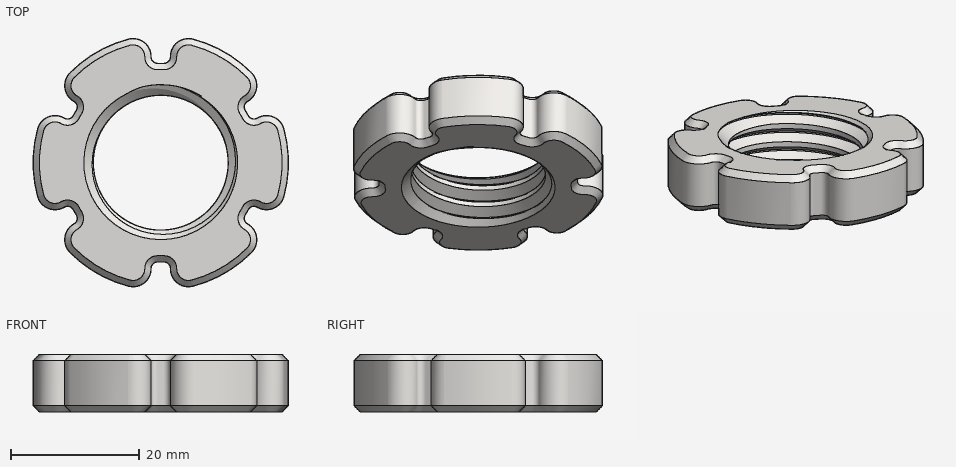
import cadquery as cq
import math

height = 9.0
outer_radius = 19.92
edge_chamfer = 1.0

slot_count = 6
slot_width = 3.0
slot_floor_radius = 15.5
slot_floor_fillet = 1.0
lobe_corner_fillet = 2.83

minor_radius = 21.0 / 2
major_radius = 24.35 / 2
pitch = 3.0
crest_width = 0.85
flank_angle = 30.0
crest_height = 7.15
crest_direction = 45.0
bore_overlap = 0.2

mouth_radius = 12.0
mouth_depth = mouth_radius - minor_radius

blank_radius = outer_radius + 2.0


def make_slot():
    """Cutter for one radial slot on the +Y side, with rounded floor corners."""
    slot_length = outer_radius
    return (
        cq.Workplane("XY")
        .center(0, slot_floor_radius + slot_length / 2)
        .rect(slot_width, slot_length)
        .extrude(height)
        .edges("|Z and <Y")
        .fillet(slot_floor_fillet)
    )


def is_lobe_corner(edge):
    """True for an upright edge where a slot wall meets the rim."""
    center = edge.Center()
    return math.isclose(math.hypot(center.x, center.y), outer_radius, abs_tol=0.005)


def make_body():
    """Slotted disc with rounded lobes, chamfered along both face outlines."""
    body = cq.Workplane("XY").circle(outer_radius).extrude(height).rotate((0, 0, 0), (0, 0, 1), 90)
    slot = make_slot()
    for index in range(slot_count):
        body = body.cut(slot.rotate((0, 0, 0), (0, 0, 1), index * 360 / slot_count))
    lobe_corners = [edge for edge in body.edges("|Z").vals() if is_lobe_corner(edge)]
    body = body.newObject(lobe_corners).fillet(lobe_corner_fillet)
    return body.faces("<Z or >Z").chamfer(edge_chamfer)


def make_mouth():
    """Lead-in cone that opens the bore at the lower face."""
    return (
        cq.Workplane("XZ")
        .polyline([(0, 0), (mouth_radius, 0), (minor_radius, mouth_depth), (0, mouth_depth)])
        .close()
        .revolve(360, (0, 0), (0, 1))
    )


def make_thread_groove():
    """Right-handed helical groove running past both faces."""
    flank_slope = math.tan(math.radians(flank_angle))
    half_opening = (pitch - crest_width) / 2
    half_root = half_opening - (major_radius - minor_radius) * flank_slope
    inner_radius = minor_radius - bore_overlap
    half_inner = half_opening + bore_overlap * flank_slope

    groove_height = crest_height + pitch / 2
    turns_below = math.ceil(groove_height / pitch) + 1
    turns_above = math.ceil((height - groove_height) / pitch) + 1
    helix = cq.Wire.makeHelix(pitch, (turns_below + turns_above) * pitch, minor_radius)
    groove = (
        cq.Workplane("XZ")
        .polyline([
            (inner_radius, -half_inner),
            (major_radius, -half_root),
            (major_radius, half_root),
            (inner_radius, half_inner),
        ])
        .close()
        .sweep(cq.Workplane(helix), isFrenet=True)
    )
    return (
        groove
        .rotate((0, 0, 0), (0, 0, 1), crest_direction)
        .translate((0, 0, groove_height - turns_below * pitch))
    )


def make_threaded_blank():
    """Oversize disc carrying the threaded bore with a lead-in cone at each end."""
    blank = cq.Workplane("XY").circle(blank_radius).circle(minor_radius).extrude(height)
    lower_mouth = make_mouth()
    upper_mouth = lower_mouth.mirror("XY").translate((0, 0, height))
    return blank.cut(make_thread_groove()).cut(lower_mouth).cut(upper_mouth)


result = make_threaded_blank().intersect(make_body())